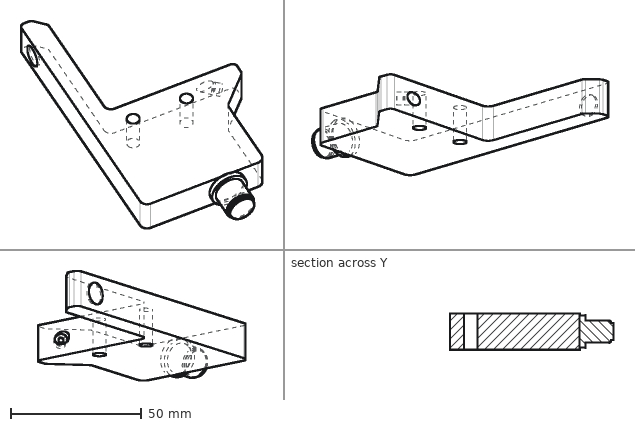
import cadquery as cq

thickness = 14.0
arm_length = 55.0
arm_width = 10.0
arm_tip_chamfer = 5.0
body_end_x = arm_length + 50.0
body_width = 52.5
tower_height = 65.0
tower_top_width = 6.0
tower_slope_run = tower_height - body_width
small_radius = 2.0
large_radius = 3.0

mount_hole_diameter = 5.0
mount_hole_x = arm_length + 8.0
mount_hole_ys = (17.0, 40.0)

channel_diameter = 5.0
channel_y = 52.0
channel_depth = 3.5
channel_direction = cq.Vector(1, 1, 0).normalized()
insert_length = 3.0
aperture_diameter = 2.0
aperture_depth = 0.5

cover_diameter = 8.5
cover_x = 11.0
cover_thickness = 1.0

connector_y = 36.0
flange_diameter = 15.0
flange_length = 2.2
barrel_diameter = 11.9
barrel_length = 9.8
barrel_chamfer_length = 0.7
barrel_chamfer_depth = 0.3
nose_diameter = 10.5
nose_length = 1.0


def channel_cylinder(diameter, start, length):
    """Cylinder along the light channel, starting at a distance behind the tower face."""
    mouth = cq.Vector(arm_length, channel_y, 0)
    origin = mouth + channel_direction * start
    plane = cq.Plane(origin=origin, xDir=(0, 0, 1), normal=channel_direction)
    return cq.Workplane(plane).circle(diameter / 2).extrude(length)


def make_cover():
    return (
        cq.Workplane("XZ")
        .center(cover_x, 0)
        .circle(cover_diameter / 2)
        .extrude(-cover_thickness)
    )


def make_insert():
    blank = channel_cylinder(channel_diameter, channel_depth, insert_length)
    return blank.cut(channel_cylinder(aperture_diameter, channel_depth, aperture_depth))


def make_housing():
    slope_top_x = arm_length + tower_top_width
    slope_foot_x = slope_top_x + tower_slope_run
    plate = (
        cq.Workplane("XY")
        .workplane(offset=-thickness / 2)
        .moveTo(0, 0)
        .lineTo(body_end_x, 0)
        .lineTo(body_end_x, body_width)
        .lineTo(slope_foot_x, body_width)
        .lineTo(slope_top_x, tower_height)
        .lineTo(arm_length, tower_height)
        .lineTo(arm_length, arm_width)
        .lineTo(arm_tip_chamfer, arm_width)
        .lineTo(0, arm_width - arm_tip_chamfer)
        .close()
        .extrude(thickness)
    )

    def round_corners(solid, corners, radius):
        for x, y in corners:
            solid = solid.edges(cq.selectors.NearestToPointSelector((x, y, 0))).fillet(radius)
        return solid

    small_corners = [
        (0, 0),
        (0, arm_width - arm_tip_chamfer),
        (arm_tip_chamfer, arm_width),
        (arm_length, tower_height),
        (slope_top_x, tower_height),
        (slope_foot_x, body_width),
    ]
    large_corners = [(arm_length, arm_width), (body_end_x, 0), (body_end_x, body_width)]
    plate = round_corners(plate, small_corners, small_radius)
    plate = round_corners(plate, large_corners, large_radius)

    mount_holes = (
        cq.Workplane("XY")
        .workplane(offset=-thickness / 2)
        .pushPoints([(mount_hole_x, y) for y in mount_hole_ys])
        .circle(mount_hole_diameter / 2)
        .extrude(thickness)
    )
    channel = channel_cylinder(
        channel_diameter, -channel_diameter, channel_diameter + channel_depth + insert_length
    )
    return plate.cut(mount_holes).cut(channel).cut(make_cover())


def make_connector():
    """Flange, chamfered barrel and nose, turned about the connector axis."""
    flange_end = body_end_x + flange_length
    barrel_end = flange_end + barrel_length
    nose_end = barrel_end + nose_length
    chamfer_start = barrel_end - barrel_chamfer_length
    barrel_radius = barrel_diameter / 2
    return (
        cq.Workplane("XY")
        .moveTo(body_end_x, connector_y)
        .lineTo(body_end_x, connector_y + flange_diameter / 2)
        .lineTo(flange_end, connector_y + flange_diameter / 2)
        .lineTo(flange_end, connector_y + barrel_radius)
        .lineTo(chamfer_start, connector_y + barrel_radius)
        .lineTo(barrel_end, connector_y + barrel_radius - barrel_chamfer_depth)
        .lineTo(barrel_end, connector_y + nose_diameter / 2)
        .lineTo(nose_end, connector_y + nose_diameter / 2)
        .lineTo(nose_end, connector_y)
        .close()
        .revolve(360, (0, connector_y, 0), (1, connector_y, 0))
    )


housing = make_housing()
cover = make_cover()
insert = make_insert()
connector = make_connector()

result = cq.Compound.makeCompound(
    [housing.val(), cover.val(), insert.val(), connector.val()]
)